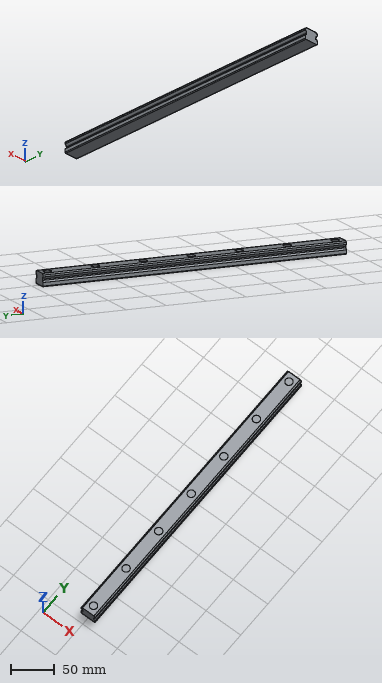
import cadquery as cq

length = 380.0
width = 20.0
height = 15.5

bottom_chamfer = 1.0
base_side_top = 5.5

waist_inset = 2.3
waist_bottom = 7.2
waist_top = 8.7

lower_raceway_inset = 2.0
lower_raceway_bottom = 10.0
lower_raceway_depth = 0.5
head_side_bottom = 11.8

upper_raceway_width = 1.7
upper_raceway_height = 1.5
upper_raceway_depth = 0.45

hole_count = 7
hole_pitch = 60.0
cap_diameter = 9.5
cap_recess = 0.2


def rail_body():
    """Extrude the waisted rail section along Y, centred in X and Y, standing on Z = 0."""
    side = width / 2
    waist = side - waist_inset
    right_half = (
        cq.Workplane("XZ")
        .lineTo(side - bottom_chamfer, 0)
        .lineTo(side, bottom_chamfer)
        .lineTo(side, base_side_top)
        .lineTo(waist, waist_bottom)
        .lineTo(waist, waist_top)
        .lineTo(side - lower_raceway_inset, lower_raceway_bottom)
        .sagittaArc((side, head_side_bottom), lower_raceway_depth)
        .lineTo(side, height - upper_raceway_height)
        .sagittaArc((side - upper_raceway_width, height), upper_raceway_depth)
        .lineTo(0, height)
    )
    return right_half.mirrorY().extrude(length / 2, both=True)


def cap_recesses():
    """Shallow discs to cut from the top face, evenly spaced along the rail."""
    return (
        cq.Workplane("XY")
        .workplane(offset=height - cap_recess)
        .rarray(3.8, hole_pitch, 1, hole_count)
        .circle(cap_diameter / 2)
        .extrude(cap_recess)
    )


result = rail_body().cut(cap_recesses())